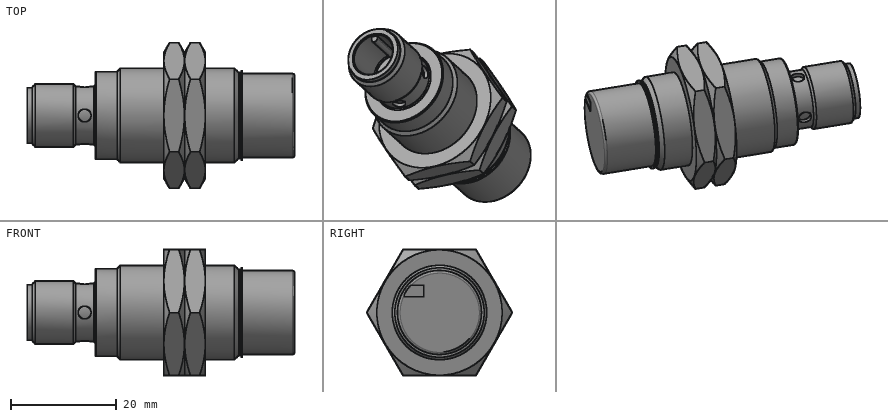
import cadquery as cq
import math

TOTAL_LENGTH = 51.0
CUT_CLEARANCE = 0.5

LEAD_RADIUS = 5.3
LEAD_END = 0.95
LEAD_STEP_RADIUS = 5.4
THREAD_RADIUS = 6.0
THREAD_START = 1.6
THREAD_END = 8.8
NECK_RADIUS = 5.55
NECK_START = 9.3
NECK_END = 12.7
NECK_FLARE = 0.25

FLANGE_START = 12.95
FLANGE_RADIUS = 8.35
FLANGE_CHAMFER = 0.2
FLANGE_END = 17.15
BARREL_DIAMETER = 18.0
BARREL_RADIUS = BARREL_DIAMETER / 2
BARREL_CHAMFER = BARREL_RADIUS - FLANGE_RADIUS
BARREL_END = 39.4
BARREL_SHOULDER_RADIUS = 8.2
BARREL_CHAMFER_END = 40.3

SHOULDER_END = 40.5
RING_START = 40.75
RING_END = 40.95
RING_RADIUS = 8.5

HEAD_RADIUS = 8.0
HEAD_ROUNDING = 0.45
PAD_HEIGHT = 0.075
HEAD_END = TOTAL_LENGTH - PAD_HEIGHT

PAD_WIDTH = 3.65
PAD_DEPTH = 2.15
PAD_CENTER_Y = -4.85
PAD_CENTER_Z = 4.1

SOCKET_RADIUS = 4.15
SOCKET_DEPTH = THREAD_END
SOCKET_MOUTH_CHAMFER = 0.2
SOCKET_FLOOR_CHAMFER = 0.25
KEY_WIDTH = 1.2
KEY_TIP_Z = 2.95
KEY_START = 0.6

DIMPLE_COUNT = 4
DIMPLE_RADIUS = 1.2
DIMPLE_X = 10.95
DIMPLE_FLOOR_RADIUS = 4.8

NUT_COUNT = 2
NUT_START = 26.0
NUT_THICKNESS = 4.0
NUT_ACROSS_FLATS = 24.0
NUT_FACE_RADIUS = 11.95
NUT_CHAMFER_ANGLE = 30.0
NUT_CORNER_RADIUS = NUT_ACROSS_FLATS / math.sqrt(3)


def turn(profile):
    """Revolve a closed (x, radius) profile about the X axis."""
    return cq.Workplane("XY").polyline(profile).close().revolve(360, (0, 0, 0), (1, 0, 0))


def x_cylinder(radius, start, end):
    """Solid cylinder along X."""
    return cq.Workplane("YZ").workplane(offset=start).circle(radius).extrude(end - start)


def make_turned_body():
    """Outer shape of the housing, with the rounded rim of the head."""
    corner_x = HEAD_END - HEAD_ROUNDING
    face_radius = HEAD_RADIUS - HEAD_ROUNDING
    diagonal = HEAD_ROUNDING * math.sqrt(0.5)
    return (
        cq.Workplane("XY")
        .moveTo(0, 0)
        .lineTo(0, LEAD_RADIUS)
        .lineTo(LEAD_END, LEAD_RADIUS)
        .lineTo(LEAD_END, LEAD_STEP_RADIUS)
        .lineTo(THREAD_START, THREAD_RADIUS)
        .lineTo(THREAD_END, THREAD_RADIUS)
        .lineTo(NECK_START, NECK_RADIUS)
        .lineTo(NECK_END, NECK_RADIUS)
        .lineTo(FLANGE_START, NECK_RADIUS + NECK_FLARE)
        .lineTo(FLANGE_START, FLANGE_RADIUS - FLANGE_CHAMFER)
        .lineTo(FLANGE_START + FLANGE_CHAMFER, FLANGE_RADIUS)
        .lineTo(FLANGE_END, FLANGE_RADIUS)
        .lineTo(FLANGE_END + BARREL_CHAMFER, BARREL_RADIUS)
        .lineTo(BARREL_END, BARREL_RADIUS)
        .lineTo(BARREL_CHAMFER_END, BARREL_SHOULDER_RADIUS)
        .lineTo(SHOULDER_END, BARREL_SHOULDER_RADIUS)
        .lineTo(SHOULDER_END, HEAD_RADIUS)
        .lineTo(RING_START, HEAD_RADIUS)
        .lineTo(RING_START, RING_RADIUS)
        .lineTo(RING_END, RING_RADIUS)
        .lineTo(RING_END, HEAD_RADIUS)
        .lineTo(corner_x, HEAD_RADIUS)
        .threePointArc((corner_x + diagonal, face_radius + diagonal), (HEAD_END, face_radius))
        .lineTo(HEAD_END, 0)
        .close()
        .revolve(360, (0, 0, 0), (1, 0, 0))
    )


def make_socket():
    """Cavity of the connector socket, with the coding key left standing at the top."""
    floor_edge = SOCKET_DEPTH - SOCKET_FLOOR_CHAMFER
    cavity = turn([
        (0, 0),
        (0, SOCKET_RADIUS + SOCKET_MOUTH_CHAMFER),
        (SOCKET_MOUTH_CHAMFER, SOCKET_RADIUS),
        (floor_edge, SOCKET_RADIUS),
        (SOCKET_DEPTH, SOCKET_RADIUS - SOCKET_FLOOR_CHAMFER),
        (SOCKET_DEPTH, 0),
    ])
    tip_radius = KEY_WIDTH / 2
    tip_center_z = KEY_TIP_Z + tip_radius
    key = (
        cq.Workplane("YZ")
        .workplane(offset=KEY_START)
        .moveTo(-tip_radius, LEAD_RADIUS)
        .lineTo(-tip_radius, tip_center_z)
        .threePointArc((0, KEY_TIP_Z), (tip_radius, tip_center_z))
        .lineTo(tip_radius, LEAD_RADIUS)
        .close()
        .extrude(SOCKET_DEPTH - KEY_START)
    )
    return cavity.cut(key)


def make_dimples():
    """Radial holes around the neck, all ending on one inner cylinder."""
    upright = (
        cq.Workplane("XY")
        .center(DIMPLE_X, 0)
        .circle(DIMPLE_RADIUS)
        .extrude(NECK_RADIUS + CUT_CLEARANCE)
    )
    core = x_cylinder(DIMPLE_FLOOR_RADIUS, NECK_START, NECK_END)
    dimple = upright.cut(core)
    return [
        dimple.rotate((0, 0, 0), (1, 0, 0), index * 360 / DIMPLE_COUNT)
        for index in range(DIMPLE_COUNT)
    ]


def make_end_pad():
    """Low pad on the end face; its outer corner stops at the edge of the flat face."""
    pad_root = HEAD_END - HEAD_ROUNDING
    block = (
        cq.Workplane("YZ")
        .workplane(offset=pad_root)
        .center(PAD_CENTER_Y, PAD_CENTER_Z)
        .rect(PAD_WIDTH, PAD_DEPTH)
        .extrude(TOTAL_LENGTH - pad_root)
    )
    return block.intersect(x_cylinder(HEAD_RADIUS - HEAD_ROUNDING, pad_root, TOTAL_LENGTH))


def make_housing():
    housing = make_turned_body().union(make_end_pad()).cut(make_socket())
    for dimple in make_dimples():
        housing = housing.cut(dimple)
    return housing


def make_nut(start):
    """Hexagonal nut with flats facing up and down, corners chamfered on both faces."""
    end = start + NUT_THICKNESS
    hexagon = (
        cq.Workplane("YZ")
        .workplane(offset=start)
        .polygon(6, 2 * NUT_CORNER_RADIUS)
        .circle(BARREL_RADIUS)
        .extrude(NUT_THICKNESS)
    )
    rim_radius = NUT_CORNER_RADIUS + CUT_CLEARANCE
    chamfer_depth = (rim_radius - NUT_FACE_RADIUS) * math.tan(math.radians(NUT_CHAMFER_ANGLE))
    envelope = turn([
        (start, 0),
        (start, NUT_FACE_RADIUS),
        (start + chamfer_depth, rim_radius),
        (end - chamfer_depth, rim_radius),
        (end, NUT_FACE_RADIUS),
        (end, 0),
    ])
    return hexagon.intersect(envelope)


housing = make_housing()
nuts = [make_nut(NUT_START + index * NUT_THICKNESS) for index in range(NUT_COUNT)]

result = cq.Compound.makeCompound([housing.val(), *[nut.val() for nut in nuts]])